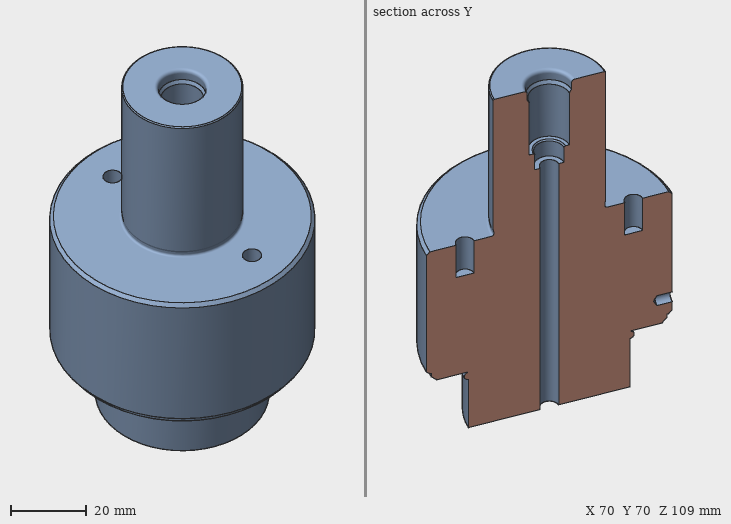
import cadquery as cq
import math

total_height = 109.0
body_bottom = 18.9
body_top = 62.9

spigot_radius = 46.0 / 2
bead_radius = 2.5 / 2

body_radius = 70.0 / 2
body_chamfer = 1.0
rim_radius = 33.6
rim_chamfer = 1.5
rim_top = 21.5

shank_radius = 32.0 / 2
shank_chamfer = 0.3
relief_radius = 31.7 / 2
root_fillet = 0.7
relief_straight = 0.7
relief_taper = 0.7

mouth_fillet = 1.04
counterbore_radius = 12.5 / 2
counterbore_depth = 3.2
core_cone_angle = 60.0
core_radius = 11.3 / 2
core_depth = 21.8
seat_mouth_radius = 9.0 / 2
seat_radius = 8.3 / 2
seat_depth = 27.2
through_radius = 5.2 / 2

pin_hole_diameter = 5.0
pin_hole_depth = 10.9
pin_hole_offset = 24.0

side_hole_radius = 3.2 / 2
side_hole_height = 26.9
side_hole_depth = 4.4
drill_tip_angle = 118.0


def make_turned_body():
    """Revolve the outer profile of spigot, bead, body and shank."""
    relief_bottom = body_top + root_fillet
    relief_top = relief_bottom + relief_straight
    arc_offset = root_fillet * (1 - math.sqrt(0.5))
    profile = (
        cq.Workplane("XZ")
        .lineTo(spigot_radius, 0)
        .lineTo(spigot_radius, body_bottom - 2 * bead_radius)
        .threePointArc(
            (spigot_radius + bead_radius, body_bottom - bead_radius),
            (spigot_radius, body_bottom),
        )
        .lineTo(rim_radius - rim_chamfer, body_bottom)
        .lineTo(rim_radius, body_bottom + rim_chamfer)
        .lineTo(rim_radius, rim_top)
        .lineTo(body_radius - body_chamfer, rim_top)
        .lineTo(body_radius, rim_top + body_chamfer)
        .lineTo(body_radius, body_top - body_chamfer)
        .lineTo(body_radius - body_chamfer, body_top)
        .lineTo(relief_radius + root_fillet, body_top)
        .threePointArc(
            (relief_radius + arc_offset, body_top + arc_offset),
            (relief_radius, relief_bottom),
        )
        .lineTo(relief_radius, relief_top)
        .lineTo(shank_radius, relief_top + relief_taper)
        .lineTo(shank_radius, total_height - shank_chamfer)
        .lineTo(shank_radius - shank_chamfer, total_height)
        .lineTo(0, total_height)
        .close()
    )
    return profile.revolve(360, (0, 0, 0), (0, 1, 0))


def make_bore():
    """Revolve the stepped bore, widening towards its flared mouth."""
    counterbore_floor = total_height - counterbore_depth
    core_floor = total_height - core_depth
    seat_floor = total_height - seat_depth
    core_step = counterbore_radius - core_radius
    core_cone = core_step / math.tan(math.radians(core_cone_angle / 2))
    seat_cone = seat_mouth_radius - seat_radius
    arc_offset = mouth_fillet * (1 - math.sqrt(0.5))
    profile = (
        cq.Workplane("XZ")
        .lineTo(through_radius, 0)
        .lineTo(through_radius, seat_floor)
        .lineTo(seat_radius, seat_floor)
        .lineTo(seat_radius, core_floor - seat_cone)
        .lineTo(seat_mouth_radius, core_floor)
        .lineTo(core_radius, core_floor)
        .lineTo(core_radius, counterbore_floor - core_cone)
        .lineTo(counterbore_radius, counterbore_floor)
        .lineTo(counterbore_radius, total_height - mouth_fillet)
        .threePointArc(
            (counterbore_radius + arc_offset, total_height - arc_offset),
            (counterbore_radius + mouth_fillet, total_height),
        )
        .lineTo(0, total_height)
        .close()
    )
    return profile.revolve(360, (0, 0, 0), (0, 1, 0))


def make_side_hole():
    """Drill along +X: a straight wall that ends in a conical tip."""
    tip_length = side_hole_radius / math.tan(math.radians(drill_tip_angle / 2))
    profile = (
        cq.Workplane("XZ", origin=(-body_radius, 0, side_hole_height))
        .lineTo(0, side_hole_radius)
        .lineTo(side_hole_depth, side_hole_radius)
        .lineTo(side_hole_depth + tip_length, 0)
        .close()
    )
    return profile.revolve(360, (0, 0, 0), (1, 0, 0))


def make_pin_holes():
    """Blind holes either side of the shank along X."""
    return (
        cq.Workplane("XY", origin=(0, 0, body_top))
        .pushPoints([(-pin_hole_offset, 0), (pin_hole_offset, 0)])
        .circle(pin_hole_diameter / 2)
        .extrude(-pin_hole_depth)
    )


result = make_turned_body()
for cutter in (make_bore(), make_pin_holes(), make_side_hole()):
    result = result.cut(cutter)